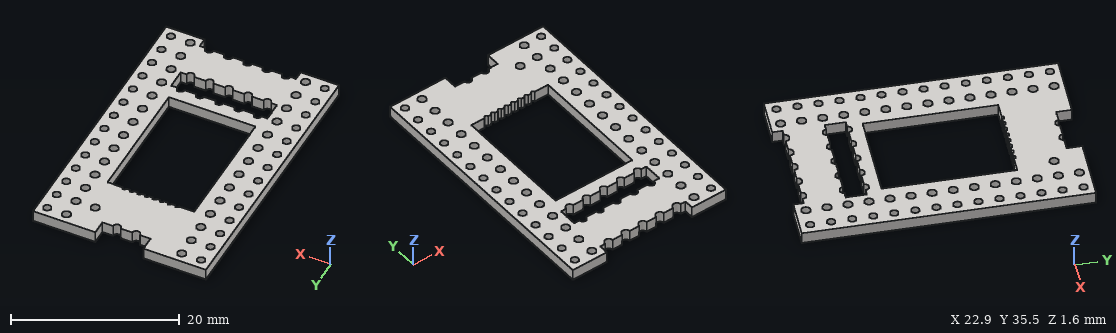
import cadquery as cq

length = 35.55
thickness = 1.6
row_count = 14
pitch = length / row_count
width = 9 * pitch
top_edge = length / 2
bottom_edge = -length / 2

outer_column_x = 4 * pitch
inner_column_x = 3 * pitch
outer_hole_diameter = 1.0
inner_hole_diameter = 1.1
extra_hole_x = 2 * pitch
extra_hole_y = top_edge - 1.5 * pitch

castellation_count = 5
notch_width = castellation_count * pitch
bottom_notch_depth = pitch / 2
slot_bottom = bottom_edge + 2.5 * pitch
slot_top = slot_bottom + pitch
slot_castellation_diameter = 1.0
bottom_castellation_diameter = 1.1

top_notch_width = 2.5 * pitch
top_notch_depth = 0.75 * pitch
top_castellation_count = 2
top_castellation_diameter = 1.0

window_width = width / 2
window_bottom = bottom_edge + 4.25 * pitch
window_top = top_edge - 8.4
fine_pitch = 1.0
fine_diameter = 0.5
fine_count = 8


def cut_rectangle(board, rectangle_width, bottom, top):
    """Cut a rectangle centred on X = 0 through the board."""
    middle = (bottom + top) / 2
    cutter = cq.Workplane("XY").center(0, middle).rect(rectangle_width, top - bottom)
    return board.cut(cutter.extrude(thickness, both=True))


def cut_holes(board, points, diameter):
    """Cut round holes through the board."""
    cutter = cq.Workplane("XY").pushPoints(points).circle(diameter / 2)
    return board.cut(cutter.extrude(thickness, both=True))


def row_points(count, spacing, y):
    """Evenly spaced points along X, centred on X = 0."""
    return [((i - (count - 1) / 2) * spacing, y) for i in range(count)]


def column_points(x):
    """One point per pin row in the two columns at -x and +x."""
    rows = [bottom_edge + (i + 0.5) * pitch for i in range(row_count)]
    return [(side * x, y) for side in (-1, 1) for y in rows]


board = cq.Workplane("XY").box(width, length, thickness)

board = cut_holes(board, column_points(outer_column_x), outer_hole_diameter)
inner_points = column_points(inner_column_x) + [(extra_hole_x, extra_hole_y)]
board = cut_holes(board, inner_points, inner_hole_diameter)

bottom_notch_top = bottom_edge + bottom_notch_depth
top_notch_bottom = top_edge - top_notch_depth
board = cut_rectangle(board, notch_width, bottom_edge, bottom_notch_top)
board = cut_rectangle(board, notch_width, slot_bottom, slot_top)
board = cut_rectangle(board, top_notch_width, top_notch_bottom, top_edge)
board = cut_rectangle(board, window_width, window_bottom, window_top)

bottom_row = row_points(castellation_count, pitch, bottom_notch_top)
board = cut_holes(board, bottom_row, bottom_castellation_diameter)
for edge_y in (slot_bottom, slot_top):
    slot_row = row_points(castellation_count, pitch, edge_y)
    board = cut_holes(board, slot_row, slot_castellation_diameter)
top_row = row_points(top_castellation_count, pitch, top_notch_bottom)
board = cut_holes(board, top_row, top_castellation_diameter)
fine_row = row_points(fine_count, fine_pitch, window_top)
board = cut_holes(board, fine_row, fine_diameter)

result = board